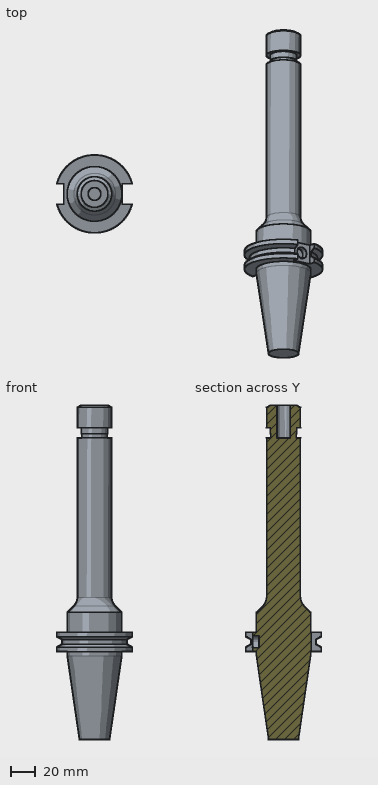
import cadquery as cq
import math


gauge_radius = 44.45 / 2
taper_length = 68.25
taper_ratio = 7 / 24
taper_end_radius = gauge_radius - taper_length * taper_ratio / 2

flange_radius = 63.5 / 2
flange_bottom = 3.175
flange_top = 19.05
flange_middle = (flange_bottom + flange_top) / 2
groove_root_radius = 27.7
groove_root_half_width = 1.9
groove_side_angle = math.radians(30)
groove_depth = flange_radius - groove_root_radius
groove_mouth_half_width = groove_root_half_width + groove_depth * math.tan(groove_side_angle)

slot_width = 16.38
deep_slot_floor = 22.6
shallow_slot_floor = 25.0
slot_hole_diameter = 9.4
slot_hole_depth = 5.0

shoulder_top = 35.0
extension_radius = 28 / 2
extension_top = 176.8
fillet_radius = 10.0
cone_angle = math.radians(45)
fillet_end_radius = extension_radius + fillet_radius * (1 - math.cos(cone_angle))
fillet_end_height = shoulder_top + (gauge_radius - fillet_end_radius) * math.tan(cone_angle)
fillet_start_height = fillet_end_height + fillet_radius * math.sin(cone_angle)
fillet_middle = (
    extension_radius + fillet_radius * (1 - math.cos(cone_angle / 2)),
    fillet_start_height - fillet_radius * math.sin(cone_angle / 2),
)

neck_lower_radius = 10.4
neck_upper_radius = 10.9
neck_step_height = 180.0
nut_radius = extension_radius
nut_bottom = 184.9
nut_top = 203.2
nut_face_radius = 10.9
nut_chamfer_height = 1.8
bore_diameter = 10.4
bore_depth = nut_top - extension_top


def make_body():
    """Turn the holder, from the small taper end to the nut face, about the Z axis."""
    profile = (
        cq.Workplane("XZ")
        .moveTo(0, -taper_length)
        .lineTo(taper_end_radius, -taper_length)
        .lineTo(gauge_radius, 0)
        .lineTo(gauge_radius, flange_bottom)
        .lineTo(flange_radius, flange_bottom)
        .lineTo(flange_radius, flange_middle - groove_mouth_half_width)
        .lineTo(groove_root_radius, flange_middle - groove_root_half_width)
        .lineTo(groove_root_radius, flange_middle + groove_root_half_width)
        .lineTo(flange_radius, flange_middle + groove_mouth_half_width)
        .lineTo(flange_radius, flange_top)
        .lineTo(gauge_radius, flange_top)
        .lineTo(gauge_radius, shoulder_top)
        .lineTo(fillet_end_radius, fillet_end_height)
        .threePointArc(fillet_middle, (extension_radius, fillet_start_height))
        .lineTo(extension_radius, extension_top)
        .lineTo(neck_lower_radius, extension_top)
        .lineTo(neck_lower_radius, neck_step_height)
        .lineTo(neck_upper_radius, neck_step_height)
        .lineTo(neck_upper_radius, nut_bottom)
        .lineTo(nut_radius, nut_bottom)
        .lineTo(nut_radius, nut_top - nut_chamfer_height)
        .lineTo(nut_face_radius, nut_top)
        .lineTo(0, nut_top)
        .close()
    )
    return profile.revolve(360, (0, 0, 0), (0, 1, 0))


def make_drive_slot(side, floor_distance):
    """Block that opens the flange on one side; side is -1 for -X and +1 for +X."""
    length = flange_radius - floor_distance
    center_x = side * (floor_distance + length / 2)
    return (
        cq.Workplane("XY", origin=(center_x, 0, flange_bottom))
        .rect(length, slot_width)
        .extrude(flange_top - flange_bottom)
    )


def make_slot_hole():
    """Blind radial hole in the floor of the -X slot, at mid flange."""
    return (
        cq.Workplane("YZ", origin=(-shallow_slot_floor, 0, flange_middle))
        .circle(slot_hole_diameter / 2)
        .extrude(slot_hole_depth)
    )


def make_collet_bore():
    """Blind tool bore in the nut face."""
    return (
        cq.Workplane("XY", origin=(0, 0, nut_top))
        .circle(bore_diameter / 2)
        .extrude(-bore_depth)
    )


result = (
    make_body()
    .cut(make_drive_slot(-1, shallow_slot_floor))
    .cut(make_drive_slot(1, deep_slot_floor))
    .cut(make_slot_hole())
    .cut(make_collet_bore())
)